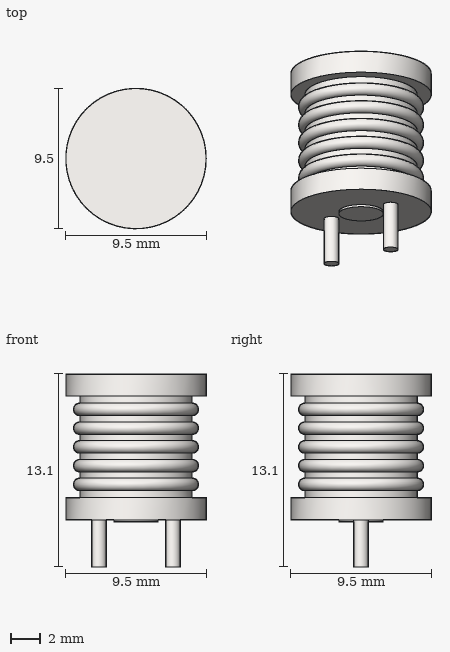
import cadquery as cq

body_top = 10.0
standoff_height = 0.15
standoff_diameter = 3.0

flange_diameter = 9.5
flange_thickness = 1.5
core_diameter = 7.6

turn_count = 5
turn_pitch = 1.267
turn_outer_diameter = 8.45
wire_diameter = 0.85

pin_diameter = 1.0
pin_spacing = 5.0
pin_protrusion = 3.05

body_bottom = standoff_height
winding_middle = (body_bottom + body_top) / 2
turn_radius = (turn_outer_diameter - wire_diameter) / 2


def cylinder(diameter, bottom, top, x=0.0):
    """Vertical cylinder between two heights."""
    return cq.Workplane("XY", origin=(x, 0, bottom)).circle(diameter / 2).extrude(top - bottom)


def wire_turn(height):
    """One closed ring of round wire around the core."""
    return (
        cq.Workplane("XZ")
        .center(-turn_radius, height)
        .circle(wire_diameter / 2)
        .revolve(360, (turn_radius, 0), (turn_radius, 1))
    )


result = cylinder(core_diameter, body_bottom, body_top)
result = result.union(cylinder(flange_diameter, body_bottom, body_bottom + flange_thickness))
result = result.union(cylinder(flange_diameter, body_top - flange_thickness, body_top))
result = result.union(cylinder(standoff_diameter, 0, body_bottom + flange_thickness))

for turn in range(turn_count):
    offset = (turn - (turn_count - 1) / 2) * turn_pitch
    result = result.union(wire_turn(winding_middle + offset))

for side in (-1, 1):
    pin_x = side * pin_spacing / 2
    result = result.union(cylinder(pin_diameter, -pin_protrusion, body_bottom + flange_thickness, pin_x))